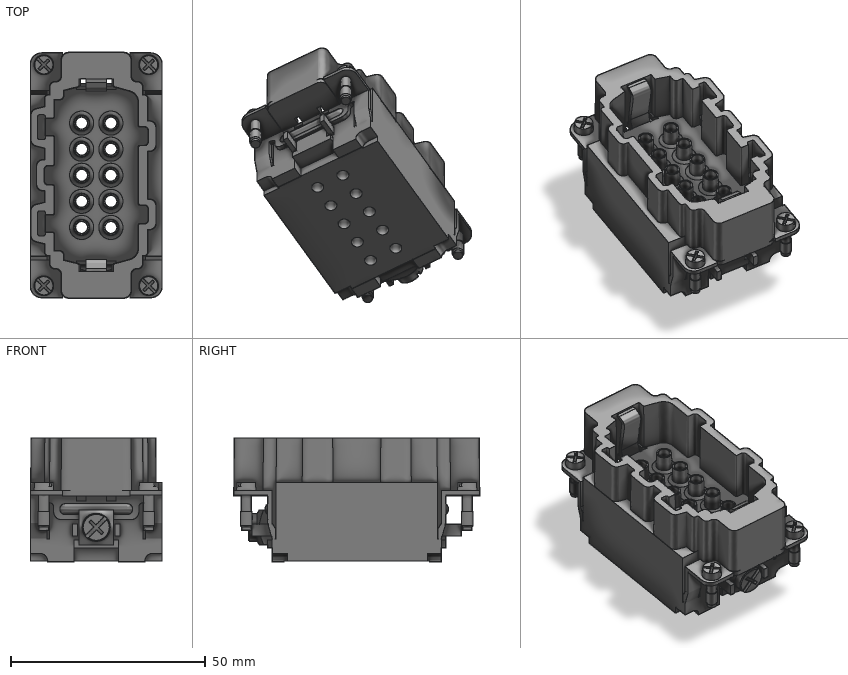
import cadquery as cq
import math


width = 34.0
length = 63.4
height = 31.95
draft = 0.5

foot_height = 0.2
body_top = 20.5
body_half_length = 21.8
side_half_length = 20.8
end_half_width = 12.05
floor_z = 18.3
foot_inner_x = 5.7
foot_outer_x = 12.55
foot_length = 3.1
corner_notch_height = 2.15
front_notch_length = 4.0
rear_notch_length = 3.55
corner_notch_radius = 1.9

sheet = 1.15
bracket_bottom = floor_z - sheet
bracket_half_length = 31.6
bracket_corner_radius = 3.0
bracket_face = body_half_length + sheet
leg_inner_x = 12.7
leg_bottom = 5.9
leg_bend = 9.95
leg_foot_thickness = 0.8
leg_bend_drop = 1.4
web_half_width = 10.95
web_bottom = 10.85
web_corner_radius = 2.0
web_wing_bottom = 15.15
web_wing_radius = 1.0
rib_z = 13.55
rib_half_height = 1.4
rib_rise = 0.7
rib_half_length = 8.0

shroud_bottom = 16.9
plinth_half_width = 8.7
end_half = 9.05
end_radius = 1.95
shoulder_x = end_half_width
shoulder_y = 24.15
shoulder_radius = 1.4
flank_radius = 1.0
flank_x = 13.4
key_lug_x = 15.5
key_lug_radius = 1.7
left_lug_end_y = 4.05
right_lug_start_y = 6.1
right_lug_end_y = 14.1
big_lug_x = 16.9
big_lug_start_y = 6.9
big_lug_end_y = 17.75
big_lug_slope_rise = 0.9
big_lug_radius = 1.8

cavity_x = 10.8
cavity_corner_x = 8.3
cavity_corner_y = 19.4
cavity_corner_radius = 1.2
cavity_mouth_y = 22.75
cavity_left_y = 21.8
cavity_right_y = 21.05
cavity_right_radius = 3.0
cavity_key_x = 13.3
cavity_key_radius = 0.9
cavity_edge_radius = 0.5
left_key_end_y = 2.4
right_key_start_y = 7.75
right_key_end_y = 12.4
slot_stem_x = 13.1
slot_stem_start_y = 10.3
slot_stem_end_y = 14.65
slot_end_x = 15.1
slot_head_start_y = 9.2
slot_head_end_y = 15.6
slot_head_radius = 0.45

latch_half_width = 2.65
latch_top = 31.45
latch_edge = 0.5
latch_edge_y = 23.95
latch_nose = (21.55, 30.3, 1.6)
latch_nose_back = (22.8, 30.05, 0.65)
latch_ramp_z = 20.75
latch_ramp_y = 22.2
latch_foot_y = 23.1
latch_back_y = 24.1
latch_pocket_half_width = 4.5
latch_pocket_y = 24.85
latch_pocket_side_wall = 0.5
side_window_x = 5.1
side_window_height = 1.2
side_window_y = 22.1

pin_columns = 2
pin_rows = 5
pin_column_pitch = 7.55
pin_row_pitch = 6.7
pin_radius = 2.1
pin_tip_radius = 1.9
pin_bore_radius = 1.5
pin_top = 22.8
pin_base_radius = 3.1
pin_base_height = 0.4

screw_x = 13.5
screw_y = 28.45
screw_head_radius = 2.55
screw_head_height = 2.15
screw_head_narrowing = 0.2
screw_slot_width = 0.7
screw_cross_length = 3.55
screw_slot_depth = 1.1
shank_radius = 1.3
collar_radius = 1.5
collar_top = 12.95
collar_bottom = 9.3
tip_radius = 1.2
tip_top = 8.95
tip_bottom = 8.1

earth_z = 8.9
washer_side = 9.0
washer_face = 25.1
washer_slope = 0.6
earth_head_radius = 3.6
earth_head_face = 27.85
earth_head_chamfer = 0.25
earth_slot_width = 1.0
earth_cross_width = 0.75
earth_cross_length = 4.55
earth_slot_depth = 0.95

ear_inner_x = 4.8
ear_outer_x = 6.1
ear_reach = 26.95
ear_bottom = 6.6
ear_top = 9.7
tab_bottom = 3.6
tab_top = 5.6


def block(x0, x1, y0, y1, z0, z1):
    """Box between two opposite corners."""
    return cq.Workplane("XY").box(x1 - x0, y1 - y0, z1 - z0, centered=False).translate((x0, y0, z0))


def both_sides(shape):
    """The shape and its mirror image across x = 0."""
    return shape.union(shape.mirror("YZ"))


def both_ends(shape):
    """The shape and its mirror image across y = 0."""
    return shape.union(shape.mirror("XZ"))


def rounded_outline(plane, corners):
    """Closed outline through (u, v, radius) corners; corners with radius 0 stay sharp."""
    sketch = plane
    for i, (u, v, radius) in enumerate(corners):
        corner = cq.Vector(u, v)
        back = (cq.Vector(*corners[i - 1][:2]) - corner).normalized()
        ahead = (cq.Vector(*corners[(i + 1) % len(corners)][:2]) - corner).normalized()
        half_angle = back.getAngle(ahead) / 2
        tangent = radius / math.tan(half_angle)
        start = corner + back * tangent
        sketch = sketch.lineTo(start.x, start.y) if i else sketch.moveTo(start.x, start.y)
        if radius:
            bisector = (back + ahead).normalized()
            middle = corner + bisector * (radius / math.sin(half_angle) - radius)
            end = corner + ahead * tangent
            sketch = sketch.threePointArc((middle.x, middle.y), (end.x, end.y))
    return sketch.close()


def mirrored_loop(right_half, left_half):
    """Full outline from its right and left corners with y > 0, both listed from the end to y = 0."""
    lower_right = [(x, -y, r) for x, y, r in reversed(right_half)]
    lower_left = [(x, -y, r) for x, y, r in left_half]
    return right_half + lower_right + lower_left + left_half[::-1]


def make_body():
    body = block(-width / 2, width / 2, -side_half_length, side_half_length, foot_height, body_top)
    body = body.union(
        block(-width / 2, width / 2, -body_half_length, body_half_length, foot_height, leg_bottom)
    )
    body = body.union(
        block(-end_half_width, end_half_width, -body_half_length, body_half_length, foot_height, floor_z)
    )
    foot = block(0, width / 2, body_half_length - foot_length, body_half_length, 0, leg_bottom)
    body = body.union(both_ends(both_sides(foot)))
    recess = block(
        -foot_inner_x, foot_inner_x, body_half_length - foot_length, body_half_length, 0, tab_bottom
    )
    body = body.cut(both_ends(recess))
    front_notch = make_corner_notch(front_notch_length)
    rear_notch = make_corner_notch(rear_notch_length).mirror("XZ")
    return body.cut(both_sides(front_notch.union(rear_notch)))


def make_corner_notch(depth):
    """Round-topped notch in the lower corner at +X, running back from the -Y end face."""
    notch = rounded_outline(
        cq.Workplane("XZ"),
        [
            (foot_outer_x, 0, 0),
            (foot_outer_x, corner_notch_height, corner_notch_radius),
            (width / 2, corner_notch_height, 0),
            (width / 2, 0, 0),
        ],
    )
    return notch.extrude(-depth).translate((0, -body_half_length, 0))


def make_shroud():
    shoulder = [
        (end_half, length / 2, end_radius),
        (end_half, shoulder_y, shoulder_radius),
        (shoulder_x, shoulder_y, shoulder_radius),
        (shoulder_x, side_half_length, 0),
        (flank_x, side_half_length, flank_radius),
    ]
    right_half = shoulder + [
        (flank_x, right_lug_end_y, 0),
        (key_lug_x, right_lug_end_y, key_lug_radius),
        (key_lug_x, right_lug_start_y, key_lug_radius),
        (flank_x, right_lug_start_y, 0),
    ]
    left_half = [(-x, y, r) for x, y, r in shoulder] + [
        (-flank_x, big_lug_end_y, 0),
        (-big_lug_x, big_lug_end_y - big_lug_slope_rise, big_lug_radius),
        (-big_lug_x, big_lug_start_y + big_lug_slope_rise, big_lug_radius),
        (-flank_x, big_lug_start_y, 0),
        (-flank_x, left_lug_end_y, 0),
        (-key_lug_x, left_lug_end_y, key_lug_radius),
    ]
    outline = mirrored_loop(right_half, left_half)
    wall = rounded_outline(cq.Workplane("XY"), outline).extrude(height - floor_z, taper=draft)
    plinth = cq.Workplane("XY").rect(2 * plinth_half_width, length).extrude(floor_z - shroud_bottom)
    plinth = plinth.edges("|Z").fillet(end_radius).translate((0, 0, shroud_bottom))
    return wall.translate((0, 0, floor_z)).union(plinth)


def make_cavity():
    right_half = [
        (latch_pocket_half_width, cavity_mouth_y, 0),
        (cavity_x, cavity_right_y, cavity_right_radius),
        (cavity_x, right_key_end_y, cavity_edge_radius),
        (cavity_key_x, right_key_end_y, cavity_key_radius),
        (cavity_key_x, right_key_start_y, cavity_key_radius),
        (cavity_x, right_key_start_y, cavity_edge_radius),
    ]
    left_half = [
        (-latch_pocket_half_width, cavity_mouth_y, 0),
        (-cavity_corner_x, cavity_left_y, 0),
        (-cavity_corner_x, cavity_corner_y, cavity_corner_radius),
        (-cavity_x, cavity_corner_y, 0),
        (-cavity_x, slot_stem_end_y, cavity_edge_radius),
        (-slot_stem_x, slot_stem_end_y, 0),
        (-slot_stem_x, slot_stem_start_y, 0),
        (-cavity_x, slot_stem_start_y, cavity_edge_radius),
        (-cavity_x, left_key_end_y, cavity_edge_radius),
        (-cavity_key_x, left_key_end_y, cavity_key_radius),
    ]
    outline = rounded_outline(cq.Workplane("XY"), mirrored_loop(right_half, left_half))
    cavity = outline.extrude(height - floor_z, taper=-draft).translate((0, 0, floor_z))
    slot_head = block(
        -slot_end_x, -slot_stem_x, slot_head_start_y, slot_head_end_y, body_top, height
    )
    slot_head = slot_head.edges("|Z").fillet(slot_head_radius)
    return cavity.union(both_ends(slot_head))


def make_latch_pocket():
    half = latch_pocket_half_width
    pocket = block(-half, half, body_half_length, latch_pocket_y, floor_z, height)
    opening = block(
        latch_half_width, half - latch_pocket_side_wall, bracket_face, latch_pocket_y, shroud_bottom, floor_z
    )
    window = block(
        latch_half_width, side_window_x, side_window_y, bracket_face,
        shroud_bottom - side_window_height, floor_z,
    )
    return both_ends(pocket.union(both_sides(opening.union(window))))


def make_latches():
    profile = rounded_outline(
        cq.Workplane("YZ"),
        [
            (latch_ramp_y, floor_z, 0),
            (latch_foot_y, latch_ramp_z, 0),
            latch_nose,
            (latch_edge_y, latch_top, 0),
            (latch_pocket_y, latch_top, 0),
            (latch_pocket_y, latch_top - latch_edge, 0),
            latch_nose_back,
            (latch_back_y, latch_ramp_z, 0),
            (latch_back_y, floor_z, 0),
        ],
    )
    return both_ends(profile.extrude(latch_half_width, both=True))


def pin_spots():
    return cq.Workplane("XY").rarray(pin_column_pitch, pin_row_pitch, pin_columns, pin_rows)


def add_pins(part):
    pin = cq.Workplane("XZ").polyline(
        [
            (0, shroud_bottom),
            (pin_base_radius, shroud_bottom),
            (pin_base_radius, floor_z),
            (pin_radius, floor_z + pin_base_height),
            (pin_tip_radius, pin_top),
            (0, pin_top),
        ]
    )
    pin = pin.close().revolve(360, (0, 0), (0, 1)).val()
    pins = pin_spots().eachpoint(lambda spot: pin.moved(spot), combine=True)
    bores = pin_spots().circle(pin_bore_radius).extrude(pin_top)
    return part.union(pins).cut(bores)


def make_brackets():
    plate = block(
        plinth_half_width, width / 2, body_half_length, bracket_half_length, bracket_bottom, floor_z
    )
    plate = plate.edges("|Z and >Y and >X").fillet(bracket_corner_radius)

    leg_foot_y = body_half_length - leg_foot_thickness
    leg = cq.Workplane("YZ").polyline(
        [
            (bracket_face, bracket_bottom),
            (bracket_face, leg_bend),
            (body_half_length, leg_bottom),
            (leg_foot_y, leg_bottom),
            (leg_foot_y, leg_bend - leg_bend_drop),
            (body_half_length, leg_bend),
            (body_half_length, bracket_bottom),
        ]
    )
    leg = leg.close().extrude(width / 2 - leg_inner_x).translate((leg_inner_x, 0, 0))

    half_web = [
        (leg_inner_x, bracket_bottom, 0),
        (leg_inner_x, web_wing_bottom, 0),
        (web_half_width, web_wing_bottom, web_wing_radius),
        (web_half_width, web_bottom, web_corner_radius),
    ]
    web = rounded_outline(
        cq.Workplane("XZ"), half_web + [(-x, z, r) for x, z, r in reversed(half_web)]
    )
    web = web.extrude(-sheet).translate((0, body_half_length, 0))
    return both_ends(both_sides(plate.union(leg)).union(web).union(make_rib()))


def make_rib():
    """Shallow round-backed rib with domed ends on the bracket face."""
    radius = (rib_half_height**2 + rib_rise**2) / (2 * rib_rise)
    rib = cq.Workplane("YZ").circle(radius).extrude(rib_half_length, both=True)
    for x in (-rib_half_length, rib_half_length):
        rib = rib.union(cq.Workplane("XY").sphere(radius).translate((x, 0, 0)))
    reach = rib_half_length + radius
    rib = rib.intersect(block(-reach, reach, radius - rib_rise, radius, -radius, radius))
    return rib.translate((0, bracket_face + rib_rise - radius, rib_z))


def make_fixing_screw():
    profile = [
        (0, floor_z + screw_head_height),
        (screw_head_radius - screw_head_narrowing, floor_z + screw_head_height),
        (screw_head_radius, floor_z),
        (shank_radius, floor_z),
        (shank_radius, collar_top),
        (collar_radius, collar_top),
        (collar_radius, collar_bottom),
        (tip_radius, tip_top),
        (tip_radius, tip_bottom),
        (0, tip_bottom),
    ]
    screw = cq.Workplane("XZ").polyline(profile).close().revolve(360, (0, 0), (0, 1))
    slots = cq.Workplane("XY").rect(2 * screw_head_radius, screw_slot_width).extrude(screw_slot_depth)
    cross = cq.Workplane("XY").rect(screw_slot_width, screw_cross_length).extrude(screw_slot_depth)
    slots = slots.union(cross).rotate((0, 0, 0), (0, 0, 1), -45)
    return screw.cut(slots.translate((0, 0, floor_z + screw_head_height - screw_slot_depth)))


def make_fixing_screws():
    screw = make_fixing_screw().val()
    spots = cq.Workplane("XY").rarray(2 * screw_x, 2 * screw_y, 2, 2)
    return spots.eachpoint(lambda spot: screw.moved(spot), combine=True)


def make_earth_terminal():
    half = washer_side / 2
    rim_radius = half * math.sqrt(2)
    peak = washer_face - bracket_face + washer_slope * half
    rim_height = peak - washer_slope * rim_radius
    cone = cq.Workplane("XZ").polyline([(0, 0), (rim_radius, 0), (rim_radius, rim_height), (0, peak)])
    cone = cone.close().revolve(360, (0, 0), (0, 1))
    washer = cq.Workplane("XY").rect(washer_side, washer_side).extrude(peak).intersect(cone)

    head_top = earth_head_face - bracket_face
    head = cq.Workplane("XY").circle(earth_head_radius).extrude(head_top)
    head = head.faces(">Z").chamfer(earth_head_chamfer)
    slots = cq.Workplane("XY").rect(2 * earth_head_radius, earth_slot_width).extrude(earth_slot_depth)
    cross = cq.Workplane("XY").rect(earth_cross_width, earth_cross_length).extrude(earth_slot_depth)
    slots = slots.union(cross).rotate((0, 0, 0), (0, 0, 1), 45)
    terminal = washer.union(head).cut(slots.translate((0, 0, head_top - earth_slot_depth)))
    backing = cq.Workplane("XY").rect(washer_side, washer_side).extrude(-sheet)
    terminal = terminal.union(backing)
    return terminal.rotate((0, 0, 0), (1, 0, 0), 90).translate((0, -bracket_face, earth_z))


def make_end_blocks():
    ear = block(ear_inner_x, ear_outer_x, side_half_length, ear_reach, ear_bottom, ear_top)
    tab = block(-foot_inner_x, foot_inner_x, side_half_length, bracket_face, tab_bottom, tab_top)
    spacer = block(-washer_side / 2, washer_side / 2, side_half_length, bracket_face, tab_top, ear_top)
    return both_ends(both_sides(ear).union(tab).union(spacer))


result = make_body().union(make_shroud()).union(make_brackets())
result = result.cut(make_cavity()).cut(make_latch_pocket())
result = result.union(make_latches()).union(make_end_blocks())
result = result.union(make_earth_terminal()).union(make_fixing_screws())
result = add_pins(result)